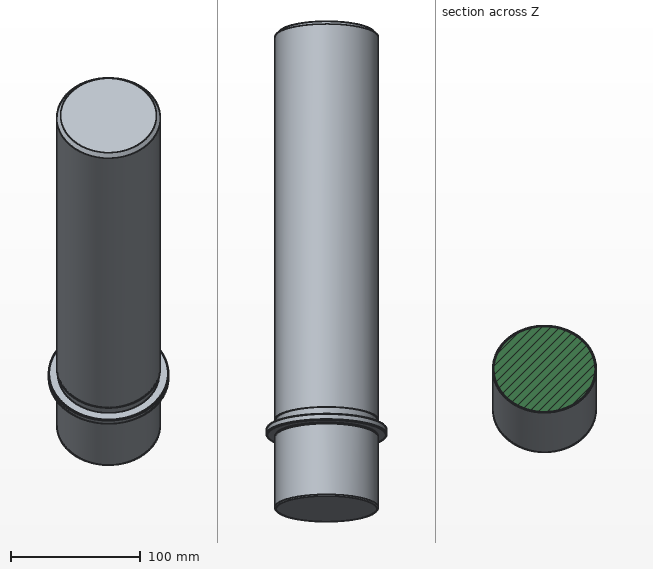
import cadquery as cq

total_height = 379.0
body_diameter = 80.0
collar_diameter = 93.0

spigot_top = 57.5
relief_height = 1.0
collar_thickness = 5.3
neck_height = 7.0
collar_bottom = spigot_top + relief_height
collar_top = collar_bottom + collar_thickness
neck_top = collar_top + neck_height

neck_diameter = 78.5
top_chamfer = 3.0
bottom_chamfer = 1.0
collar_chamfer = 0.8


def cylinder(diameter, bottom, top):
    """Upright cylinder on the Z axis between two heights."""
    return cq.Workplane("XY").workplane(offset=bottom).circle(diameter / 2).extrude(top - bottom)


spigot = cylinder(body_diameter, 0, spigot_top).faces("<Z").edges().chamfer(bottom_chamfer)

collar = cylinder(collar_diameter, collar_bottom, collar_top).edges().chamfer(collar_chamfer)

core = cylinder(neck_diameter, spigot_top, neck_top)

shaft = cylinder(body_diameter, neck_top, total_height).faces(">Z").edges().chamfer(top_chamfer)

result = spigot.union(core).union(collar).union(shaft)